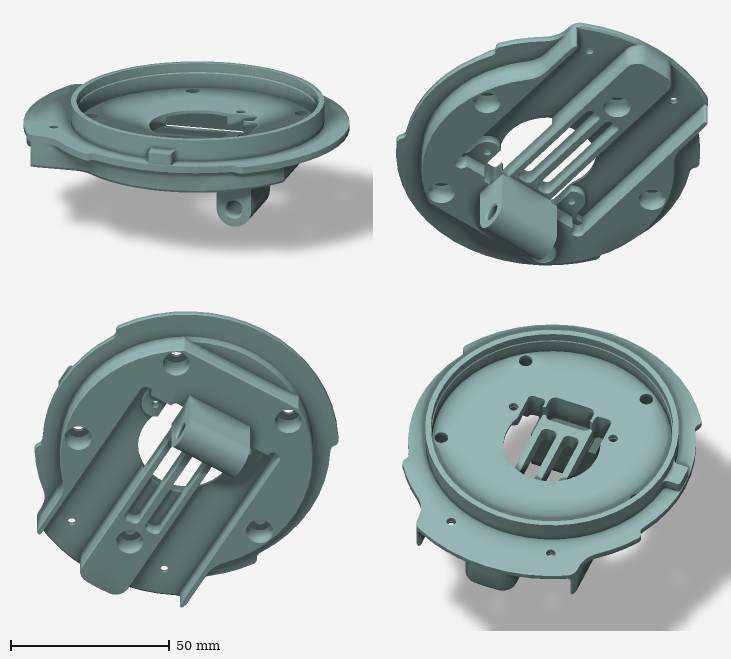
import cadquery as cq
import math

LENGTH_X = 103.0
WIDTH_Y = 91.0
HEIGHT_Z = 37.0

RING_TOP = 7.0
RING_STEP_Z = 3.7
RING_STEP_SLOPE = 0.3
FLOOR_Z = -1.1
FLANGE_BOTTOM = -2.2
LEDGE_BOTTOM = -3.4
RIB_TOP = -5.0
BODY_BOTTOM = -10.5
LUG_TOP = -11.4
LUG_BOTTOM = RING_TOP - HEIGHT_Z
OVERLAP = 1.0

RING_RADIUS = 80.0 / 2
RING_UPPER_BORE = 76.5 / 2
RING_LOWER_BORE = 76.0 / 2
EAR_RADIUS = 55.0
FLANGE_RADIUS = LENGTH_X - EAR_RADIUS
DIP_RADIUS = WIDTH_Y / 2
DIP_HALF_ANGLE = 28.5
DIP_BLEND = 2.1

EAR_HALF_WIDTH = 27.3
EAR_CORNER = 4.1
EAR_NECK_BLEND = 9.7
EAR_WALL = 1.8
EAR_WALL_END = 0.7
RIM_CHAMFER = 0.6

BODY_FLAT_X = 34.1
LEDGE_SMALL_RADIUS = RING_RADIUS - (FLANGE_BOTTOM - LEDGE_BOTTOM)
BOTTOM_BEVEL_HEIGHT = 0.7
BOTTOM_BEVEL_WIDTH = 0.3

WINDOW_RADIUS = 30.6 / 2
NOTCH_END_X = 16.0
NOTCH_OUTER_Y = 28.3 / 2
NOTCH_OUTER_CORNER = 1.5
NOTCH_INNER_CORNER = 1.2
POCKET_START_X = 11.7
POCKET_END_X = 18.1
POCKET_HALF_WIDTH = 7.6
POCKET_CORNER = 2.3

CAVITY_HALF_WIDTH = EAR_HALF_WIDTH - EAR_WALL
CAVITY_END_X = NOTCH_END_X - NOTCH_OUTER_CORNER
RIB_HALF_WIDTH = 17.0 / 2
RIB_CORNER = 4.6
SLOT_START_X = -28.8
SLOT_END_X = 8.1
SLOT_INNER_Y = 1.1
SLOT_OUTER_Y = 6.4
SLOT_CORNER = 1.9

SCREW_XS = (-42.3, 9.5)
SCREW_Y = 17.0
SCREW_HOLE = 2.5
SCREW_MOUTH = 3.0
SCREW_MOUTH_DEPTH = 1.5
BOSS_DIAMETER = 8.8
BOSS_FILLET = 2.1
MOUNT_HOLE = 4.3
MOUNT_COUNT = 5
MOUNT_CIRCLE_RADIUS = 35.0
MOUNT_HEAD = 8.5
MOUNT_SEAT_Z = -2.5

LUG_START_X = 9.3
LUG_WIDTH = 11.3
LUG_HALF_LENGTH = 11.0
LUG_HOLE = 5.0
LUG_HOLE_CHAMFER = 0.5

KEY_HALF_WIDTH = 3.8
KEY_END_Y = -45.1
KEY_CORNER = 0.8
KEY_BLEND = 1.4


def polar(radius, angle):
    """Point at a radius and an angle in degrees from the +X axis."""
    return (radius * math.cos(math.radians(angle)), radius * math.sin(math.radians(angle)))


def slab(x_start, x_end, y_start, y_end, z_start, z_end):
    """Box between two limits on each axis."""
    size = (x_end - x_start, y_end - y_start, z_end - z_start)
    return cq.Workplane("XY").box(*size, centered=False).translate((x_start, y_start, z_start))


def disc(radius, z_start, z_end):
    """Cylinder on the ring axis."""
    return cq.Workplane("XY", origin=(0, 0, z_start)).circle(radius).extrude(z_end - z_start)


def cone(bottom_radius, top_radius, z_start, z_end):
    """Truncated cone on the ring axis."""
    height = z_end - z_start
    solid = cq.Solid.makeCone(bottom_radius, top_radius, height, cq.Vector(0, 0, z_start))
    return cq.Workplane(solid)


def mirrored(solid):
    """The solid joined with its reflection across the XZ plane."""
    return solid.union(solid.mirror("XZ"))


def start_ear(neck_radius, z):
    """Upper half outline of the ear, ending where it blends into the neck circle, and that angle."""
    corner_y = EAR_HALF_WIDTH - EAR_CORNER
    corner_x = -math.sqrt((EAR_RADIUS - EAR_CORNER) ** 2 - corner_y ** 2)
    corner_angle = math.degrees(math.atan2(corner_y, corner_x))
    neck_y = EAR_HALF_WIDTH + EAR_NECK_BLEND
    neck_x = -math.sqrt((neck_radius + EAR_NECK_BLEND) ** 2 - neck_y ** 2)
    neck_angle = math.degrees(math.atan2(neck_y, neck_x))
    outline = (
        cq.Workplane("XY", origin=(0, 0, z))
        .moveTo(-EAR_RADIUS, 0)
        .threePointArc(polar(EAR_RADIUS, (180 + corner_angle) / 2), polar(EAR_RADIUS, corner_angle))
        .radiusArc((corner_x, EAR_HALF_WIDTH), EAR_CORNER)
        .lineTo(neck_x, EAR_HALF_WIDTH)
        .radiusArc(polar(neck_radius, neck_angle), -EAR_NECK_BLEND)
    )
    return outline, neck_angle


def make_flange():
    """Flange plate with the ear, and a shallow dip in the rim on the +Y and -Y sides."""
    drop = FLANGE_RADIUS - DIP_RADIUS
    blend_span = math.sqrt(drop * (4 * DIP_BLEND - drop))
    mean_radius = (FLANGE_RADIUS + DIP_RADIUS) / 2
    blend_angle = math.degrees(blend_span / mean_radius)
    left_dip = 90 + DIP_HALF_ANGLE
    left_rim = left_dip + blend_angle
    left_middle = polar(mean_radius, left_dip + blend_angle / 2)
    right_dip = 180 - left_dip
    right_rim = 180 - left_rim
    outline, neck_angle = start_ear(FLANGE_RADIUS, FLANGE_BOTTOM)
    plate = (
        outline
        .threePointArc(polar(FLANGE_RADIUS, (neck_angle + left_rim) / 2), polar(FLANGE_RADIUS, left_rim))
        .radiusArc(left_middle, DIP_BLEND)
        .radiusArc(polar(DIP_RADIUS, left_dip), -DIP_BLEND)
        .threePointArc((0, DIP_RADIUS), polar(DIP_RADIUS, right_dip))
        .radiusArc((-left_middle[0], left_middle[1]), -DIP_BLEND)
        .radiusArc(polar(FLANGE_RADIUS, right_rim), DIP_BLEND)
        .threePointArc(polar(FLANGE_RADIUS, right_rim / 2), (FLANGE_RADIUS, 0))
        .mirrorX()
        .extrude(-FLANGE_BOTTOM)
    )
    return plate.cut(make_rim_bevel())


def make_rim_bevel():
    """Cutter for the bevel under the ear rim, between the ear walls."""
    bevel_top = FLANGE_BOTTOM + RIM_CHAMFER
    reach = EAR_RADIUS + OVERLAP
    outside = slab(
        -reach, -FLANGE_RADIUS, -CAVITY_HALF_WIDTH, CAVITY_HALF_WIDTH, FLANGE_BOTTOM, bevel_top
    )
    return outside.cut(cone(EAR_RADIUS - RIM_CHAMFER, EAR_RADIUS, FLANGE_BOTTOM, bevel_top))


def bevel_bottom(solid):
    """Narrow bevel around the underside of a body piece."""
    return solid.faces("<Z").edges().chamfer(BOTTOM_BEVEL_HEIGHT, BOTTOM_BEVEL_WIDTH)


def make_body():
    """Lower body: ear walls and a drum with a flat, hollowed from -X with round corner reliefs."""
    body_top = FLANGE_BOTTOM + RIM_CHAMFER
    flat_angle = math.degrees(math.acos(BODY_FLAT_X / RING_RADIUS))
    outline, neck_angle = start_ear(RING_RADIUS, BODY_BOTTOM)
    drum = (
        outline
        .threePointArc(polar(RING_RADIUS, (neck_angle + flat_angle) / 2), polar(RING_RADIUS, flat_angle))
        .lineTo(BODY_FLAT_X, 0)
        .mirrorX()
        .extrude(body_top - BODY_BOTTOM)
    )
    body = bevel_bottom(drum)

    reach = EAR_RADIUS + OVERLAP
    cavity = slab(
        -reach, CAVITY_END_X, -CAVITY_HALF_WIDTH, CAVITY_HALF_WIDTH, BODY_BOTTOM, body_top
    )
    relief_radius = (CAVITY_HALF_WIDTH - SCREW_Y - BOSS_DIAMETER / 2) / 2
    relief_y = CAVITY_HALF_WIDTH - relief_radius
    reliefs = (
        cq.Workplane("XY", origin=(0, 0, BODY_BOTTOM))
        .pushPoints([(CAVITY_END_X, -relief_y), (CAVITY_END_X, relief_y)])
        .circle(relief_radius)
        .extrude(RIB_TOP - BODY_BOTTOM)
    )
    body = body.cut(cavity).cut(reliefs)
    body = body.edges("|Z").edges("<X").fillet(EAR_WALL_END)
    return body.union(make_ledge()).union(make_rib(body_top))


def make_ledge():
    """Conical ledge under the flange, showing beyond the flat of the body."""
    ledge = cone(LEDGE_SMALL_RADIUS, RING_RADIUS, LEDGE_BOTTOM, FLANGE_BOTTOM)
    return ledge.intersect(
        slab(CAVITY_END_X, EAR_RADIUS, -EAR_RADIUS, EAR_RADIUS, LEDGE_BOTTOM, FLANGE_BOTTOM)
    )


def make_rib(top):
    """Central rib from the ear rim to the end of the cavity, rounded at the rim."""
    rib = slab(-EAR_RADIUS, CAVITY_END_X, -RIB_HALF_WIDTH, RIB_HALF_WIDTH, BODY_BOTTOM, top)
    rib = rib.intersect(disc(EAR_RADIUS, BODY_BOTTOM, top))
    return bevel_bottom(rib.edges("|Z").edges("<X").fillet(RIB_CORNER))


def make_bosses():
    """Screw bosses joined to the end wall of the cavity."""
    radius = BOSS_DIAMETER / 2
    boss_x = SCREW_XS[1]
    height = FLANGE_BOTTOM - RIB_TOP
    boss = cq.Workplane("XY", origin=(boss_x, SCREW_Y, RIB_TOP)).circle(radius).extrude(height)
    web = slab(boss_x, CAVITY_END_X, SCREW_Y - radius, SCREW_Y + radius, RIB_TOP, FLANGE_BOTTOM)
    outer_y = SCREW_Y + radius
    gusset = slab(
        CAVITY_END_X - BOSS_FILLET, CAVITY_END_X, outer_y, outer_y + BOSS_FILLET, RIB_TOP, FLANGE_BOTTOM
    )
    hollow = (
        cq.Workplane("XY", origin=(CAVITY_END_X - BOSS_FILLET, outer_y + BOSS_FILLET, RIB_TOP))
        .circle(BOSS_FILLET)
        .extrude(height)
    )
    return mirrored(boss.union(web).union(gusset.cut(hollow)))


def make_ring():
    """Upstanding ring; its bore is cut later."""
    return disc(RING_RADIUS, FLANGE_BOTTOM, RING_TOP)


def make_ring_bore():
    """Stepped bore of the ring down to the floor."""
    upper = disc(RING_UPPER_BORE, RING_STEP_Z + RING_STEP_SLOPE, RING_TOP)
    slope = cone(RING_LOWER_BORE, RING_UPPER_BORE, RING_STEP_Z, RING_STEP_Z + RING_STEP_SLOPE)
    lower = disc(RING_LOWER_BORE, FLOOR_Z, RING_STEP_Z)
    return upper.union(slope).union(lower)


def make_key():
    """Locating key with rounded outer corners, blended into the ring."""
    inner_y = -(RING_RADIUS + RING_UPPER_BORE) / 2
    key = slab(-KEY_HALF_WIDTH, KEY_HALF_WIDTH, KEY_END_Y, inner_y, -OVERLAP, RING_STEP_Z)
    key = key.edges("|Z and <Y").fillet(KEY_CORNER)
    blend_x = KEY_HALF_WIDTH + KEY_BLEND
    blend_y = -math.sqrt((RING_RADIUS + KEY_BLEND) ** 2 - blend_x ** 2)
    foot = slab(-blend_x, blend_x, blend_y, inner_y, -OVERLAP, RING_STEP_Z)
    hollows = (
        cq.Workplane("XY", origin=(0, 0, -OVERLAP))
        .pushPoints([(-blend_x, blend_y), (blend_x, blend_y)])
        .circle(KEY_BLEND)
        .extrude(RING_STEP_Z + OVERLAP)
    )
    return key.union(foot.cut(hollows))


def make_lug():
    """Hinge lug with a rounded end and a chamfered cross hole."""
    radius = LUG_WIDTH / 2
    centre_x = LUG_START_X + radius
    centre_z = LUG_BOTTOM + radius
    top = BODY_BOTTOM
    lug = slab(
        LUG_START_X, LUG_START_X + LUG_WIDTH, -LUG_HALF_LENGTH, LUG_HALF_LENGTH, centre_z, top
    )
    end = (
        cq.Workplane("XZ", origin=(centre_x, 0, centre_z))
        .circle(radius)
        .extrude(LUG_HALF_LENGTH, both=True)
    )
    hole = (
        cq.Workplane("XZ", origin=(centre_x, 0, centre_z))
        .circle(LUG_HOLE / 2)
        .extrude(LUG_HALF_LENGTH, both=True)
    )
    lug = lug.union(end).cut(hole)
    hole_edges = cq.selectors.RadiusNthSelector(0)
    return lug.faces("<Y or >Y").edges(hole_edges).chamfer(LUG_HOLE_CHAMFER)


def make_window():
    """Round window in the floor, a notch beside each side of the rib, and the rib-end pocket."""
    notch = slab(0, NOTCH_END_X, RIB_HALF_WIDTH, NOTCH_OUTER_Y, LUG_TOP, FLOOR_Z)
    notch = notch.edges("|Z").edges(">X and >Y").fillet(NOTCH_OUTER_CORNER)
    notch = notch.edges("|Z").edges("<Y").edges(">X").fillet(NOTCH_INNER_CORNER)
    pocket = slab(
        POCKET_START_X, POCKET_END_X, -POCKET_HALF_WIDTH, POCKET_HALF_WIDTH, LUG_TOP, FLOOR_Z
    ).edges("|Z").fillet(POCKET_CORNER)
    return disc(WINDOW_RADIUS, RIB_TOP, FLOOR_Z).union(mirrored(notch)).union(pocket)


def make_slots():
    """Two long slots through the rib, below the floor."""
    slot = slab(SLOT_START_X, SLOT_END_X, SLOT_INNER_Y, SLOT_OUTER_Y, BODY_BOTTOM, RIB_TOP)
    return mirrored(slot.edges("|Z").fillet(SLOT_CORNER))


def make_screw_holes():
    """Four small screw holes, each with a wider mouth, through the plate and the bosses."""
    cutter = cq.Workplane("XY")
    for x, mouth_z in zip(SCREW_XS, (0, FLOOR_Z)):
        seat_z = mouth_z - SCREW_MOUTH_DEPTH
        for y in (-SCREW_Y, SCREW_Y):
            shank = cq.Workplane("XY", origin=(x, y, RIB_TOP)).circle(SCREW_HOLE / 2).extrude(-RIB_TOP)
            mouth = cq.Workplane("XY", origin=(x, y, seat_z)).circle(SCREW_MOUTH / 2).extrude(-seat_z)
            cutter = cutter.union(shank).union(mouth)
    return cutter


def make_mount_holes():
    """Ring of mounting holes, counterbored from below."""
    centres = [polar(MOUNT_CIRCLE_RADIUS, 180 + 360 / MOUNT_COUNT * i) for i in range(MOUNT_COUNT)]
    base = cq.Workplane("XY", origin=(0, 0, BODY_BOTTOM)).pushPoints(centres)
    shanks = base.circle(MOUNT_HOLE / 2).extrude(FLOOR_Z - BODY_BOTTOM)
    heads = base.circle(MOUNT_HEAD / 2).extrude(MOUNT_SEAT_Z - BODY_BOTTOM)
    return shanks.union(heads)


result = (
    make_flange()
    .union(make_body())
    .union(make_bosses())
    .union(make_ring())
    .union(make_key())
    .union(make_lug())
    .cut(make_ring_bore())
    .cut(make_window())
    .cut(make_slots())
    .cut(make_screw_holes())
    .cut(make_mount_holes())
)